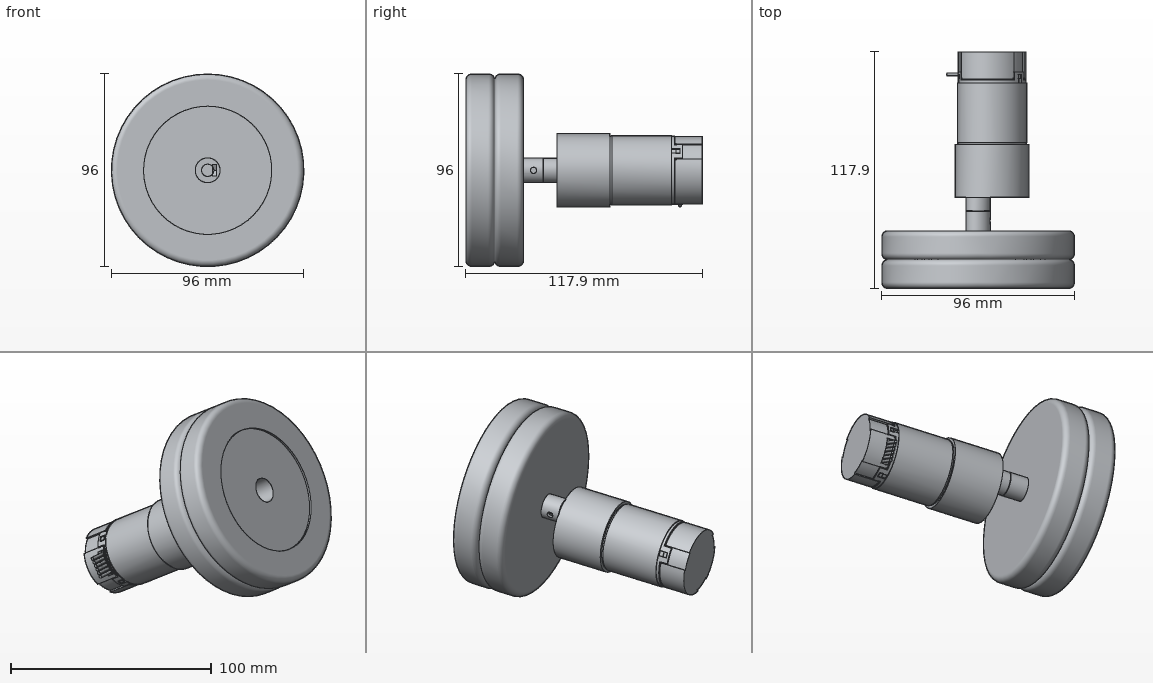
import cadquery as cq
import math

OVERALL_LENGTH = 117.9

WHEEL_RADIUS = 48.0
WHEEL_WIDTH = 14.4
WHEEL_EDGE_FILLET = 3.0
WHEEL_RECESS_RADIUS = 32.0
WHEEL_RECESS_DEPTH = 1.1
WHEEL_COUNT = 2

ADAPTER_RADIUS = 6.19
ADAPTER_START = WHEEL_WIDTH
ADAPTER_END = 38.5
SCREW_HOLE_RADIUS = 1.5
SCREW_Y = 33.7
NUT_ACROSS_FLATS = 5.8
NUT_POCKET_INNER_X = 2.5
NUT_POCKET_OUTER_X = 4.4

MOTOR_AXIS_X = 7.0
SHAFT_RADIUS = 3.1
SHAFT_FLAT_X = 2.5
SHAFT_START = 23.6
SHAFT_FLAT_LENGTH = 12.0
BOSS_RADIUS = 6.1
BOSS_START = 38.7
GEARBOX_RADIUS = 18.4
GEARBOX_START = 45.4
GEARBOX_END = 71.8

CAN_RADIUS = 17.3
CAN_END = 102.5
CAN_FRONT_CHAMFER_LENGTH = 1.0
CAN_FRONT_CHAMFER_DEPTH = 0.5

CORE_RADIUS = 16.0
CAP_RADIUS = 17.0
RING_LENGTH = 1.4
CAP_GAP = 0.5
GAP_FLOOR_RADIUS = 16.6
CAP_CORNER_CHAMFER = 0.6
NOTCH_WIDTH = 9.0
NOTCH_INNER_X = 11.8
TAB_SIDE_GAP = 0.4
TAB_LENGTH = 5.5
LATCH_WIDTH = 2.6
LATCH_LENGTH = 4.2
LATCH_DEEP_LENGTH = 2.2
LATCH_SHALLOW_DEPTH = 0.6
HOUSING_TURN = 35.0
NOTCH_ANGLES = [HOUSING_TURN + step for step in (-135.0, 0.0, 135.0)]
CABLE_ANGLE = HOUSING_TURN + 180.0

OPENING_WIDTH = 13.0
OPENING_LENGTH = 3.5
OPENING_FLOOR = 13.0
OPENING_MIDDLE_Y = 106.7
WIRE_COUNT = 6
WIRE_RADIUS = 0.77
WIRE_PITCH = 1.95
CABLE_REACH = 23.7


def rod(radius, start, end, x=0.0):
    """Cylinder along Y."""
    solid = cq.Solid.makeCylinder(radius, end - start, cq.Vector(x, start, 0), cq.Vector(0, 1, 0))
    return cq.Workplane(solid)


def block(x_range, y_range, width):
    """Box between two X and two Y values, centred on z = 0."""
    return cq.Workplane().box(
        x_range[1] - x_range[0], y_range[1] - y_range[0], width, centered=(False, False, True)
    ).translate((x_range[0], y_range[0], 0))


def turned(shape, angle):
    """Turn a shape about the Y axis, from +X towards +Z."""
    return shape.rotate((0, 0, 0), (0, 1, 0), -angle)


def make_wheel(start):
    wheel = rod(WHEEL_RADIUS, start, start + WHEEL_WIDTH).edges().fillet(WHEEL_EDGE_FILLET)
    recess = rod(WHEEL_RECESS_RADIUS, start, start + WHEEL_RECESS_DEPTH)
    bore = rod(ADAPTER_RADIUS, start, start + WHEEL_WIDTH)
    return wheel.cut(recess).cut(bore)


def make_adapter():
    adapter = rod(ADAPTER_RADIUS, ADAPTER_START, ADAPTER_END)
    bore = rod(SHAFT_RADIUS, ADAPTER_START, ADAPTER_END)
    screw_hole = cq.Workplane("YZ").center(SCREW_Y, 0).circle(SCREW_HOLE_RADIUS).extrude(ADAPTER_RADIUS)
    return adapter.cut(bore).cut(screw_hole).cut(nut_pocket())


def nut_pocket():
    """Slot for a captive hexagon nut, open at the adapter's front and V-shaped at its inner end."""
    half_width = NUT_ACROSS_FLATS / 2
    half_side = half_width / math.sqrt(3)
    return (
        cq.Workplane("YZ", origin=(NUT_POCKET_INNER_X, 0, 0))
        .moveTo(ADAPTER_START, -half_width)
        .lineTo(SCREW_Y + half_side, -half_width)
        .lineTo(SCREW_Y + 2 * half_side, 0)
        .lineTo(SCREW_Y + half_side, half_width)
        .lineTo(ADAPTER_START, half_width)
        .close()
        .extrude(NUT_POCKET_OUTER_X - NUT_POCKET_INNER_X)
    )


def output_shaft():
    shaft = rod(SHAFT_RADIUS, SHAFT_START, BOSS_START)
    flat = block(
        (SHAFT_FLAT_X, SHAFT_RADIUS), (SHAFT_START, SHAFT_START + SHAFT_FLAT_LENGTH), 2 * SHAFT_RADIUS
    )
    return shaft.cut(flat)


def gearbox():
    boss = rod(BOSS_RADIUS, BOSS_START, GEARBOX_START)
    body = rod(GEARBOX_RADIUS, GEARBOX_START, GEARBOX_END, MOTOR_AXIS_X)
    return body.union(boss)


def motor_can():
    can = rod(CAN_RADIUS, GEARBOX_END, CAN_END)
    return can.faces("<Y").chamfer(CAN_FRONT_CHAMFER_LENGTH, CAN_FRONT_CHAMFER_DEPTH)


def encoder_cap():
    """Rear sleeve with three notches open to the front and to the rear."""
    start = CAN_END + RING_LENGTH + CAP_GAP
    cap = rod(CAP_RADIUS, start, OVERALL_LENGTH)
    half_width = NOTCH_WIDTH / 2
    notch = (
        cq.Workplane("YZ", origin=(NOTCH_INNER_X, 0, 0))
        .moveTo(start, -half_width - CAP_CORNER_CHAMFER)
        .lineTo(start + CAP_CORNER_CHAMFER, -half_width)
        .lineTo(OVERALL_LENGTH, -half_width)
        .lineTo(OVERALL_LENGTH, half_width)
        .lineTo(start + CAP_CORNER_CHAMFER, half_width)
        .lineTo(start, half_width + CAP_CORNER_CHAMFER)
        .close()
        .extrude(CAP_RADIUS - NOTCH_INNER_X)
    )
    for angle in NOTCH_ANGLES:
        cap = cap.cut(turned(notch, angle))
    return cap


def ring_with_tabs():
    """Front ring whose three tabs reach into the cap notches, each with a stepped latch slot."""
    tabs_end = CAN_END + TAB_LENGTH
    ring = rod(CAP_RADIUS, CAN_END, tabs_end)
    shallow_slot = block(
        (CAP_RADIUS - LATCH_SHALLOW_DEPTH, CAP_RADIUS), (CAN_END, CAN_END + LATCH_LENGTH), LATCH_WIDTH
    )
    deep_slot = block((CORE_RADIUS, CAP_RADIUS), (CAN_END, CAN_END + LATCH_DEEP_LENGTH), LATCH_WIDTH)
    for angle in NOTCH_ANGLES:
        ring = ring.cut(turned(shallow_slot, angle)).cut(turned(deep_slot, angle))
    tab_width = NOTCH_WIDTH - 2 * TAB_SIDE_GAP
    ring_end = CAN_END + RING_LENGTH
    gap_floor = rod(GAP_FLOOR_RADIUS, ring_end, ring_end + CAP_GAP)
    between_tabs = rod(CAP_RADIUS, ring_end, tabs_end).cut(gap_floor)
    for angle in NOTCH_ANGLES:
        tab = block((NOTCH_INNER_X, CAP_RADIUS), (CAN_END, tabs_end), tab_width)
        between_tabs = between_tabs.cut(turned(tab, angle))
    return ring.cut(between_tabs)


def cable_opening():
    opening_start = OPENING_MIDDLE_Y - OPENING_LENGTH / 2
    opening = block(
        (OPENING_FLOOR, CAP_RADIUS), (opening_start, opening_start + OPENING_LENGTH), OPENING_WIDTH
    )
    return turned(opening, CABLE_ANGLE)


def cable_wires():
    """Flat row of evenly spaced wires, leaving radially from inside the core."""
    first_z = -WIRE_PITCH * (WIRE_COUNT - 1) / 2
    root = OPENING_FLOOR - WIRE_RADIUS
    places = [(OPENING_MIDDLE_Y, first_z + WIRE_PITCH * index) for index in range(WIRE_COUNT)]
    wires = (
        cq.Workplane("YZ", origin=(root, 0, 0))
        .pushPoints(places)
        .circle(WIRE_RADIUS)
        .extrude(CABLE_REACH - root)
    )
    return turned(wires, CABLE_ANGLE)


def make_motor():
    core = rod(CORE_RADIUS, CAN_END, OVERALL_LENGTH)
    housing = core.union(encoder_cap()).union(ring_with_tabs()).cut(cable_opening())
    rear = motor_can().union(housing).union(cable_wires()).translate((MOTOR_AXIS_X, 0, 0))
    return gearbox().union(output_shaft()).union(rear)


wheels = [make_wheel(index * WHEEL_WIDTH) for index in range(WHEEL_COUNT)]
adapter = make_adapter()
motor = make_motor()

result = cq.Compound.makeCompound([*[wheel.val() for wheel in wheels], adapter.val(), motor.val()])